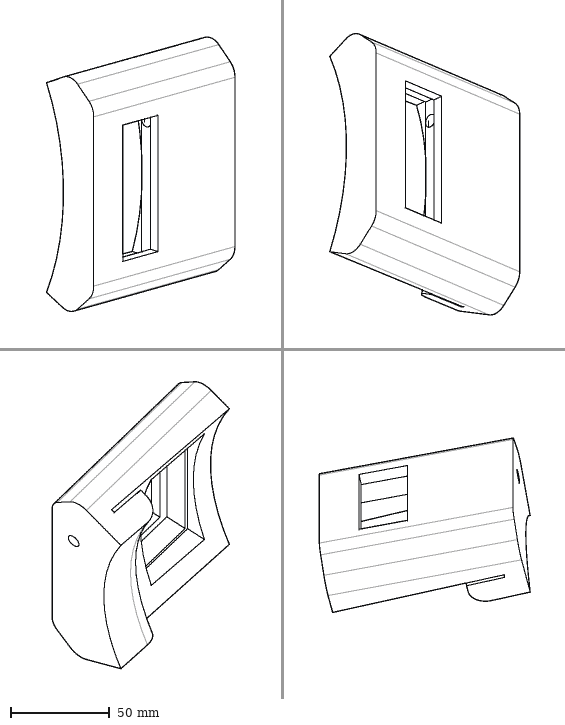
import cadquery as cq
import math

length = 100.0
sector_half_angle = 25.0
shoulder_slope = 41.0
shoulder_height = 49.2
corner_radius = 9.9

axis_x = -153.2
front_radius = 131.2
taper = math.tan(math.radians(2.9))

hook_thickness = 16.8
hook_tip_y = 69.4
hook_tip_radius = 9.9
slot_end_y = 89.3
slot_width = 2.0

window_y = 33.0
mouth_size = (40.0, 86.4)
mouth_floor_x = -17.6
seat_size = (36.0, 82.2)
seat_floor_x = -5.7
opening_size = (25.0, 72.0)

cable_hole_diameter = 6.9
cable_hole_x = -14.1
cable_hole_z = 29.2


def cone_radius(y):
    """Radius of the conical inner face at position y."""
    return front_radius + taper * y


def sector_block():
    """Wedge between two radial planes, closed by rounded shoulders and the flat back."""
    end_slope = math.tan(math.radians(sector_half_angle))
    fall = math.tan(math.radians(shoulder_slope))
    peak_x = (shoulder_height + axis_x * end_slope) / (end_slope + fall)
    peak_z = (peak_x - axis_x) * end_slope
    outline = [
        (axis_x, 0),
        (peak_x, peak_z),
        (0, shoulder_height),
        (0, -shoulder_height),
        (peak_x, -peak_z),
    ]
    block = cq.Workplane("XZ").polyline(outline).close().extrude(-length)
    rounded_edges = cq.selectors.BoxSelector(
        (peak_x - 1.2, -1.2, -peak_z - 1.2),
        (1.2, length + 1.2, peak_z + 1.2),
    )
    return block.edges("|Y").edges(rounded_edges).fillet(corner_radius)


def turned(profile):
    """Turn a closed (radius, y) profile a full revolution about the cone axis."""
    return profile.close().revolve(360, (0, 0, 0), (0, 1, 0)).translate((axis_x, 0, 0))


def inner_clearance():
    """Space inside the conical face, in front of the hook tip."""
    return turned(cq.Workplane("XY").polyline([
        (0, 0),
        (cone_radius(0), 0),
        (cone_radius(hook_tip_y), hook_tip_y),
        (0, hook_tip_y),
    ]))


def hook_clearance():
    """Space inside the hook, flaring around its rounded tip."""
    angle = math.atan(taper)
    tip_center_y = hook_tip_y + hook_tip_radius
    hook_radius = cone_radius(tip_center_y) - hook_thickness
    tip_center_r = hook_radius + hook_tip_radius / math.cos(angle)

    def on_tip(direction):
        return (tip_center_r - hook_tip_radius * math.cos(direction),
                tip_center_y + hook_tip_radius * math.sin(direction))

    return turned(
        cq.Workplane("XY")
        .moveTo(0, hook_tip_y)
        .lineTo(tip_center_r, hook_tip_y)
        .threePointArc(on_tip((angle - math.pi / 2) / 2), on_tip(angle))
        .lineTo(cone_radius(length) - hook_thickness, length)
        .lineTo(0, length)
    )


def hook_slot():
    """Thin slot between the hook and the conical face."""
    return turned(cq.Workplane("XY").polyline([
        (cone_radius(hook_tip_y) - slot_width, hook_tip_y),
        (cone_radius(hook_tip_y), hook_tip_y),
        (cone_radius(slot_end_y), slot_end_y),
        (cone_radius(slot_end_y) - slot_width, slot_end_y),
    ]))


def window_step(size, floor_x):
    """Rectangular cut from the inner side down to floor_x."""
    size_y, size_z = size
    depth = floor_x - axis_x
    return (
        cq.Workplane("XY")
        .box(depth, size_y, size_z, centered=(False, True, True))
        .translate((axis_x, window_y, 0))
    )


def cable_hole():
    """Round hole along Y from the middle of the window through the rear face."""
    return (
        cq.Workplane("XZ", origin=(cable_hole_x, window_y, cable_hole_z))
        .circle(cable_hole_diameter / 2)
        .extrude(window_y - length)
    )


result = (
    sector_block()
    .cut(inner_clearance())
    .cut(hook_clearance())
    .cut(hook_slot())
    .cut(window_step(mouth_size, mouth_floor_x))
    .cut(window_step(seat_size, seat_floor_x))
    .cut(window_step(opening_size, 0))
    .cut(cable_hole())
)